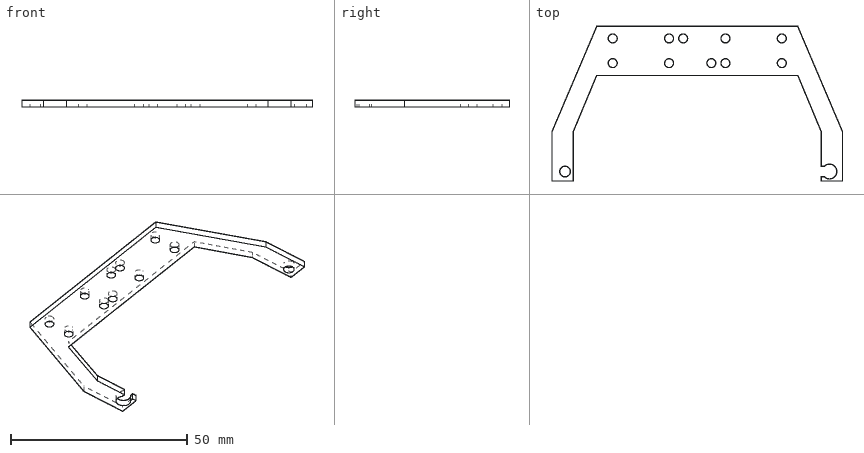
import cadquery as cq

width = 82.5
depth = 44.0
thickness = 2.0
half_width = width / 2

arm_width = 6.1
arm_height = 14.1
bar_depth = 14.0
bar_half_length = 28.55
bar_bottom = depth - bar_depth

bar_hole_diameter = 2.5
column_count = 4
hole_pitch = 16.0
first_hole_x = -hole_pitch * (column_count - 1) / 2
extra_hole_offset = hole_pitch / 4
upper_row_y = 40.5
row_spacing = 7.0
lower_row_y = upper_row_y - row_spacing

pivot_y = 2.7
pivot_hole_x = -37.5
pivot_hole_diameter = 3.0
snap_x = -pivot_hole_x
snap_diameter = 4.1
snap_gap = 3.0


def frame_plate():
    inner_x = half_width - arm_width
    right_side = [
        (bar_half_length, depth),
        (half_width, arm_height),
        (half_width, 0),
        (inner_x, 0),
        (inner_x, arm_height),
        (bar_half_length, bar_bottom),
    ]
    left_side = [(-x, y) for x, y in reversed(right_side)]
    return cq.Workplane("XY").polyline(right_side + left_side).close().extrude(thickness)


def round_cutters(centres, diameter):
    return cq.Workplane("XY").pushPoints(centres).circle(diameter / 2).extrude(thickness)


def crossbar_holes():
    columns = [first_hole_x + i * hole_pitch for i in range(column_count)]
    centres = [(x, y) for x in columns for y in (upper_row_y, lower_row_y)]
    centres.append((-extra_hole_offset, upper_row_y))
    centres.append((extra_hole_offset, lower_row_y))
    return round_cutters(centres, bar_hole_diameter)


def pivot_hole():
    return round_cutters([(pivot_hole_x, pivot_y)], pivot_hole_diameter)


def snap_socket():
    seat = round_cutters([(snap_x, pivot_y)], snap_diameter)
    opening = (
        cq.Workplane("XY")
        .center(snap_x - arm_width / 2, pivot_y)
        .rect(arm_width, snap_gap)
        .extrude(thickness)
    )
    return seat.union(opening)


result = frame_plate().cut(crossbar_holes()).cut(pivot_hole()).cut(snap_socket())